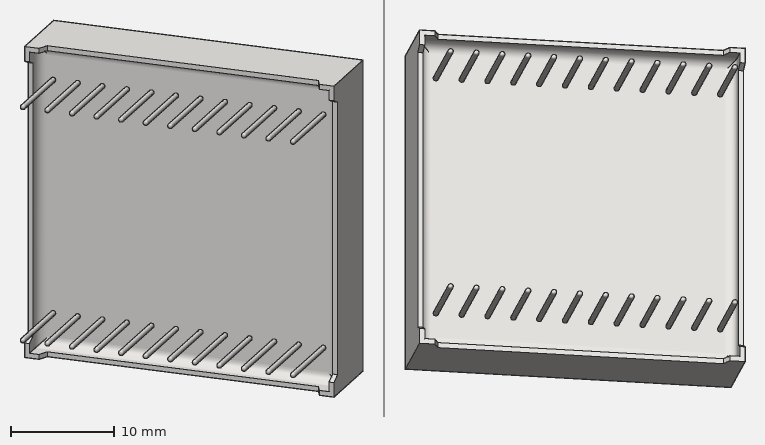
import cadquery as cq

side = 32.0
depth = 8.0
wall = 0.5
cavity_depth = 2.5
floor_fillet = 1.0

relief_depth = 1.0
foot_width = 1.5
relief_flank = 0.48

pins_per_row = 12
row_length = 27.95
row_spacing = 24.0
pin_diameter = 0.5
pin_tip_round = 0.2
overall_depth = 14.0

back_y = overall_depth - depth
floor_y = back_y + cavity_depth
inner_side = side - 2 * wall
pin_pitch = row_length / (pins_per_row - 1)


def make_housing():
    """Square block with a sharp-cornered cavity and a rounded floor edge."""
    block = cq.Workplane("XY").box(side, depth, side).translate((0, back_y + depth / 2, 0))
    cavity = (
        cq.Workplane("XY")
        .box(inner_side, cavity_depth, inner_side)
        .faces(">Y")
        .edges()
        .fillet(floor_fillet)
        .translate((0, back_y + cavity_depth / 2, 0))
    )
    return block.cut(cavity)


def make_relief():
    """Trapezoidal prism along Z that lowers the middle of two opposite walls."""
    mouth = side / 2 - foot_width
    bottom = mouth - relief_flank
    return (
        cq.Workplane("XY")
        .polyline([
            (-mouth, back_y),
            (mouth, back_y),
            (bottom, back_y + relief_depth),
            (-bottom, back_y + relief_depth),
        ])
        .close()
        .extrude(side / 2, both=True)
    )


def make_pins():
    """Both rows of pins, standing on the cavity floor."""
    return (
        cq.Workplane("XZ")
        .rarray(pin_pitch, row_spacing, pins_per_row, 2)
        .circle(pin_diameter / 2)
        .extrude(-floor_y)
        .faces("<Y")
        .edges()
        .fillet(pin_tip_round)
    )


relief = make_relief()
turned_relief = relief.rotate((0, 0, 0), (0, 1, 0), 90)
result = make_housing().cut(relief).cut(turned_relief).union(make_pins())